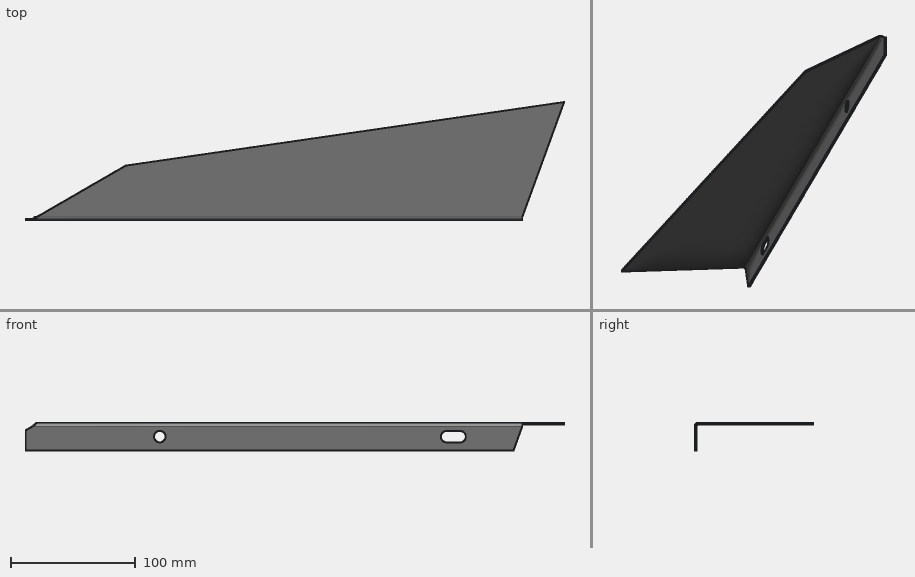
import cadquery as cq
import math

length = 432.0
plate_depth = 95.0
flange_height = 22.5

thickness = 1.5
bend_radius = 2.8
inner_radius = bend_radius - thickness
bend_z = flange_height - bend_radius

left_cut_slope = math.tan(math.radians(30))
right_cut_slope = math.tan(math.radians(20))
left_edge_height = 16.5
corner_x = 80.5
corner_y = 44.0

hole_diameter = 9.0
hole_z = 11.2
round_hole_x = 107.5
slot_x = 343.0
slot_length = 20.0

flange_left_x = (bend_z - left_edge_height) / left_cut_slope
plate_left_x = corner_x - (corner_y - bend_radius) / left_cut_slope
bend_right_x = length - (plate_depth - bend_radius) * right_cut_slope
flange_bottom_right_x = bend_right_x - bend_z * right_cut_slope


def make_plate():
    """Flat horizontal plate behind the bend."""
    outline = [
        (plate_left_x, bend_radius),
        (bend_right_x, bend_radius),
        (length, plate_depth),
        (corner_x, corner_y),
    ]
    plane = cq.Workplane("XY").workplane(offset=flange_height - thickness)
    return plane.polyline(outline).close().extrude(thickness)


def make_flange():
    """Flat vertical flange below the bend."""
    outline = [
        (0, 0),
        (flange_bottom_right_x, 0),
        (bend_right_x, bend_z),
        (flange_left_x, bend_z),
        (0, left_edge_height),
    ]
    return cq.Workplane("XZ").polyline(outline).close().extrude(-thickness)


def make_bend():
    """Quarter-round bend, trimmed at its slanted left end."""
    diagonal = math.sqrt(0.5)
    arc = (
        cq.Workplane("YZ")
        .moveTo(0, bend_z)
        .threePointArc(
            (bend_radius * (1 - diagonal), bend_z + bend_radius * diagonal),
            (bend_radius, flange_height),
        )
        .lineTo(bend_radius, flange_height - thickness)
        .threePointArc(
            (bend_radius - inner_radius * diagonal, bend_z + inner_radius * diagonal),
            (thickness, bend_z),
        )
        .close()
        .extrude(bend_right_x)
    )
    trim_outline = [
        (flange_left_x, bend_z),
        (bend_right_x, bend_z),
        (bend_right_x, flange_height),
        (plate_left_x, flange_height),
    ]
    trim = cq.Workplane("XZ").polyline(trim_outline).close().extrude(-bend_radius)
    return arc.intersect(trim)


def make_holes():
    """Cutters for the round hole and the slot."""
    flange_face = cq.Workplane("XZ")
    round_hole = flange_face.center(round_hole_x, hole_z).circle(hole_diameter / 2).extrude(-thickness)
    slot = flange_face.center(slot_x, hole_z).slot2D(slot_length, hole_diameter).extrude(-thickness)
    return round_hole.union(slot)


result = make_plate().union(make_bend()).union(make_flange()).cut(make_holes())